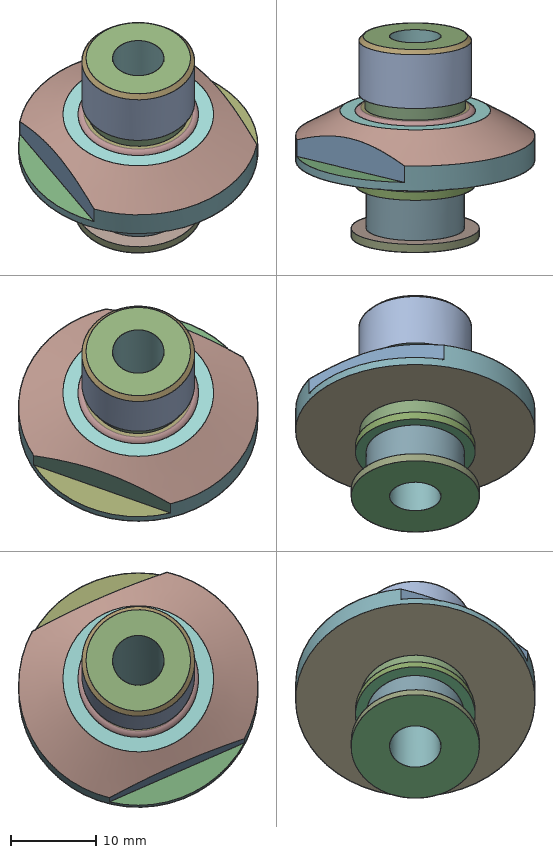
import cadquery as cq
import math

bore_dia = 6.0
foot_dia = 15.0
stem_dia = 11.5
collar_dia = 14.0
shoulder_dia = 13.0
flange_dia = 28.0
ring_dia = 14.1
ring_flat_dia = 12.75
neck_dia = 11.8
head_dia = 13.2

foot_height = 1.0
stem_height = 5.2
collar_height = 1.0
shoulder_height = 2.0
rim_height = 3.0
cone_height = 3.0
ring_height = 0.4
ring_arc_radius = 0.8
neck_height = 1.6
head_height = 7.0

cone_angle = 30.0
flat_width = 22.0
flat_ledge_height = 1.0
head_chamfer = 0.5

stem_z = foot_height
collar_z = stem_z + stem_height
shoulder_z = collar_z + collar_height
flange_z = shoulder_z + shoulder_height
ring_z = flange_z + rim_height + cone_height
neck_z = ring_z + ring_height
head_z = neck_z + neck_height
top_z = head_z + head_height


def disc(diameter, bottom_z, height):
    """Cylinder on the Z axis."""
    return cq.Workplane("XY").workplane(offset=bottom_z).circle(diameter / 2).extrude(height)


def flange():
    """Cylindrical rim under a cone, with a wrench flat on the +Y and -Y sides."""
    rim_radius = flange_dia / 2
    cone_top_radius = rim_radius - cone_height / math.tan(math.radians(cone_angle))
    body = (
        cq.Workplane("XZ")
        .moveTo(0, flange_z)
        .lineTo(rim_radius, flange_z)
        .lineTo(rim_radius, flange_z + rim_height)
        .lineTo(cone_top_radius, ring_z)
        .lineTo(0, ring_z)
        .close()
        .revolve(360, (0, 0, 0), (0, 1, 0))
    )
    ledge_z = flange_z + flat_ledge_height
    for side in (-1, 1):
        flat_cut = (
            cq.Workplane("XY")
            .workplane(offset=ledge_z)
            .center(0, side * (flat_width + flange_dia) / 2)
            .rect(flange_dia, flange_dia)
            .extrude(ring_z - ledge_z)
        )
        body = body.cut(flat_cut)
    return body


def lower_stem():
    """Foot disc, stem, collar and shoulder below the flange."""
    return (
        disc(foot_dia, 0, foot_height)
        .union(disc(stem_dia, stem_z, stem_height))
        .union(disc(collar_dia, collar_z, collar_height))
        .union(disc(shoulder_dia, shoulder_z, shoulder_height))
    )


def rounded_ring():
    """Low ring whose outer side is one convex arc up to its flat top."""
    base_radius = ring_dia / 2
    flat_radius = ring_flat_dia / 2
    return (
        cq.Workplane("XZ")
        .moveTo(0, ring_z)
        .lineTo(base_radius, ring_z)
        .radiusArc((flat_radius, neck_z), -ring_arc_radius)
        .lineTo(0, neck_z)
        .close()
        .revolve(360, (0, 0, 0), (0, 1, 0))
    )


def upper_stem():
    """Rounded ring, neck and chamfered head above the flange."""
    head = disc(head_dia, head_z, head_height).faces(">Z").edges().chamfer(head_chamfer)
    return rounded_ring().union(disc(neck_dia, neck_z, neck_height)).union(head)


bore = disc(bore_dia, 0, top_z)
result = lower_stem().union(flange()).union(upper_stem()).cut(bore)